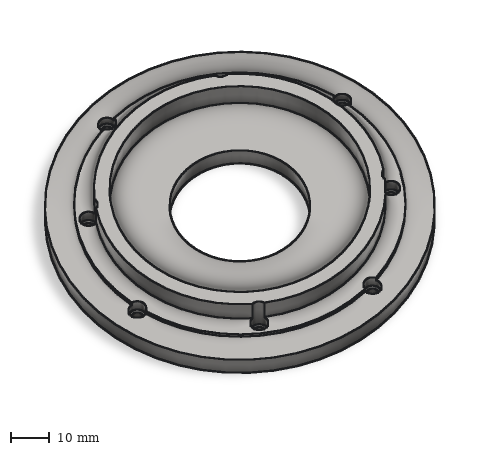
import cadquery as cq

flange_diameter = 100.0
flange_height = 5.5
step_diameter = 85.0
step_height = 1.0
rim_diameter = 74.8
total_height = 12.5
recess_diameter = 66.8
recess_floor = flange_height
bore_diameter = 36.0

screw_diameter = 2.8
head_diameter = 4.6
head_seat_height = 3.0
axis_circle_diameter = 86.0
diagonal_circle_diameter = 78.2


def disc(diameter, bottom, top):
    """Solid disc on the Z axis between two heights."""
    return cq.Workplane("XY").workplane(offset=bottom).circle(diameter / 2).extrude(top - bottom)


def screw_cutters(circle_diameter, start_angle):
    """Four screw holes, with head clearance cut upward through the rim."""
    def hole_set(diameter, bottom):
        return (
            cq.Workplane("XY")
            .workplane(offset=bottom)
            .polarArray(circle_diameter / 2, start_angle, 360, 4)
            .circle(diameter / 2)
            .extrude(total_height - bottom)
        )

    return hole_set(screw_diameter, 0).union(hole_set(head_diameter, head_seat_height))


body = disc(flange_diameter, 0, flange_height)
body = body.union(disc(step_diameter, 0, flange_height + step_height))
body = body.union(disc(rim_diameter, 0, total_height))

body = body.cut(disc(recess_diameter, recess_floor, total_height))
body = body.cut(disc(bore_diameter, 0, total_height))

body = body.cut(screw_cutters(axis_circle_diameter, 0))
result = body.cut(screw_cutters(diagonal_circle_diameter, 45))